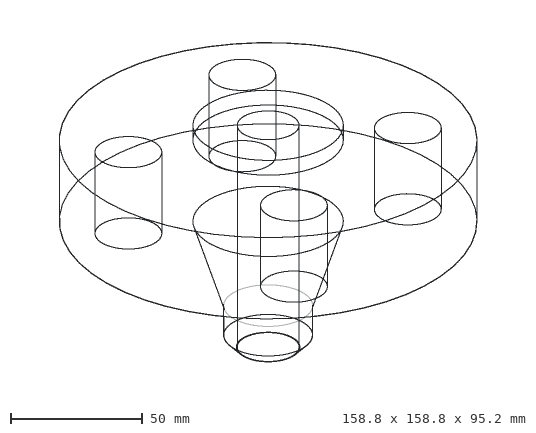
import cadquery as cq
import math

flange_diameter = 158.8
flange_thickness = 35.0
face_diameter = 57.2
face_height = 6.4

total_height = 95.2
hub_diameter = 57.2
taper_height = 36.2
neck_diameter = 33.8
tip_diameter = 24.1
bevel_height = 5.1

bore_diameter = 23.5
bolt_circle_diameter = 108.0
bolt_hole_diameter = 25.4
bolt_hole_count = 4
first_bolt_angle = 45.0

flange_top = total_height - face_height
flange_bottom = flange_top - flange_thickness
neck_top = flange_bottom - taper_height


def flange_body():
    """Revolve the solid half profile around Z."""
    return (
        cq.Workplane("XZ")
        .moveTo(0, 0)
        .lineTo(tip_diameter / 2, 0)
        .lineTo(neck_diameter / 2, bevel_height)
        .lineTo(neck_diameter / 2, neck_top)
        .lineTo(hub_diameter / 2, flange_bottom)
        .lineTo(flange_diameter / 2, flange_bottom)
        .lineTo(flange_diameter / 2, flange_top)
        .lineTo(face_diameter / 2, flange_top)
        .lineTo(face_diameter / 2, total_height)
        .lineTo(0, total_height)
        .close()
        .revolve(360, (0, 0), (0, 1))
    )


def through_hole(x, y, diameter):
    """Full-height cutter parallel to Z."""
    return cq.Workplane("XY").center(x, y).circle(diameter / 2).extrude(total_height)


result = flange_body().cut(through_hole(0, 0, bore_diameter))

for index in range(bolt_hole_count):
    angle = math.radians(first_bolt_angle + index * 360 / bolt_hole_count)
    hole_x = bolt_circle_diameter / 2 * math.cos(angle)
    hole_y = bolt_circle_diameter / 2 * math.sin(angle)
    result = result.cut(through_hole(hole_x, hole_y, bolt_hole_diameter))